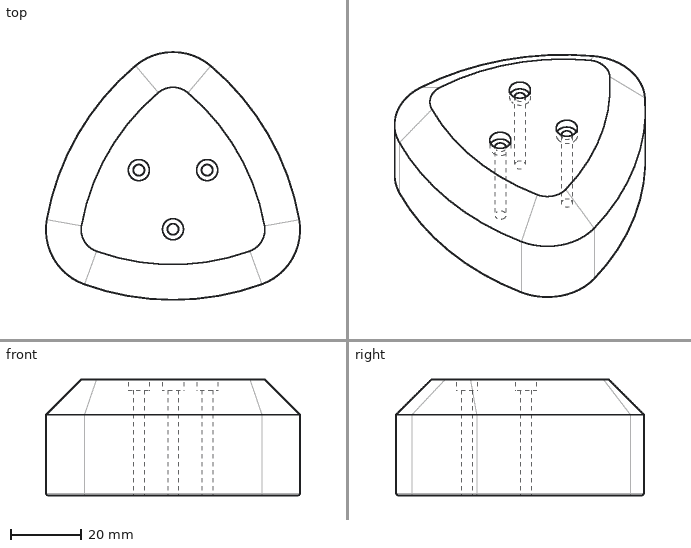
import cadquery as cq
import math

side_angles = (-90, 30, 150)

height = 33.0
side_radius = 73.95
corner_radius = 16.5
top_chamfer = 10.0
bottom_fillet = 0.7

hole_diameter = 3.1
counterbore_diameter = 6.0
counterbore_depth = 3.0
hole_circle_radius = 11.2

vertex_distance = side_radius / math.sqrt(3)

center_gap = side_radius - corner_radius
corner_distance = (
    -vertex_distance / 2
    + math.sqrt(center_gap**2 - 0.75 * vertex_distance**2)
)
corner_offset = corner_distance * math.sin(math.radians(60))
side_half_angle = math.degrees(math.asin(corner_offset / center_gap))


def polar(radius, angle):
    """Point at a distance from the part axis, angle in degrees from +X."""
    return (radius * math.cos(math.radians(angle)), radius * math.sin(math.radians(angle)))


def side_point(middle_angle, offset_angle):
    """Point on the side arc facing middle_angle, turned by offset_angle about the arc centre."""
    center_x, center_y = polar(vertex_distance, middle_angle + 180)
    reach_x, reach_y = polar(side_radius, middle_angle + offset_angle)
    return (center_x + reach_x, center_y + reach_y)


def make_body():
    """Bowed triangular block, chamfered on top and lightly rounded underneath."""
    outline = cq.Workplane("XY").moveTo(*side_point(side_angles[0], -side_half_angle))
    for side in side_angles:
        outline = outline.threePointArc(side_point(side, 0), side_point(side, side_half_angle))
        corner_tip = polar(corner_distance + corner_radius, side + 60)
        outline = outline.threePointArc(corner_tip, side_point(side + 120, -side_half_angle))
    body = outline.close().extrude(height)
    body = body.faces(">Z").chamfer(top_chamfer)
    return body.faces("<Z").fillet(bottom_fillet)


def drill_holes(body):
    """One counterbored through hole facing the middle of each side."""
    hole_centers = [polar(hole_circle_radius, angle) for angle in side_angles]
    return (
        body.faces(">Z")
        .workplane(origin=(0, 0, height))
        .pushPoints(hole_centers)
        .cboreHole(hole_diameter, counterbore_diameter, counterbore_depth)
    )


result = drill_holes(make_body())